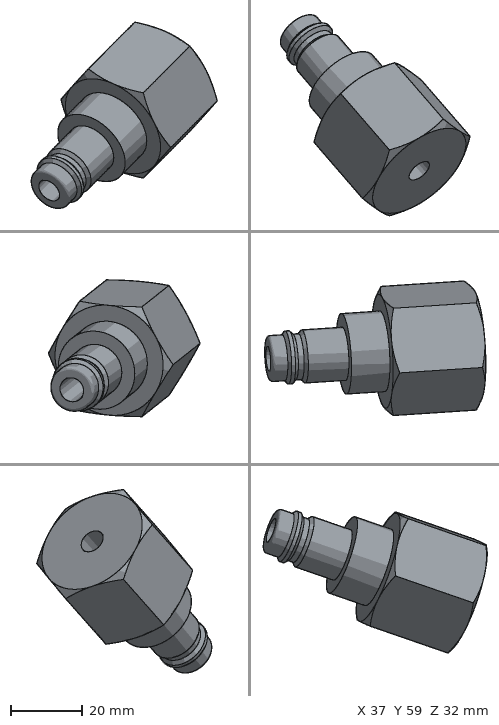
import cadquery as cq
import math

total_length = 59.0
across_flats = 32.0
hex_length = 26.5
collar_radius = 11.3
collar_length = 11.0
plug_radius = 7.5
neck_radius = 6.5
bore_radius = 3.5
tip_fillet = 1.0
hex_chamfer_angle = 30.0

rib_front_start = 4.3
rib_front_end = 5.2
rib_back_start = 6.3
rib_back_end = 7.3
groove_back_start = 8.95
groove_back_end = 10.0

flat_radius = across_flats / 2
corner_radius = flat_radius / math.cos(math.radians(30))
chamfer_length = (corner_radius - flat_radius) * math.tan(math.radians(hex_chamfer_angle))
tip_y = -total_length / 2
back_y = total_length / 2
hex_front_y = back_y - hex_length
collar_front_y = hex_front_y - collar_length


def revolve_about_y(profile):
    """Turn a closed (radius, y) profile around the Y axis."""
    return profile.close().revolve(360, (0, 0, 0), (0, 1, 0))


def make_hex():
    """Hexagonal body with corners on X and both ends turned to a cone."""
    prism = (
        cq.Workplane("XZ", origin=(0, back_y, 0))
        .polygon(6, 2 * corner_radius)
        .extrude(hex_length)
    )
    turned_envelope = revolve_about_y(
        cq.Workplane("XY").polyline([
            (0, hex_front_y),
            (flat_radius, hex_front_y),
            (corner_radius, hex_front_y + chamfer_length),
            (corner_radius, back_y - chamfer_length),
            (flat_radius, back_y),
            (0, back_y),
        ])
    )
    return prism.intersect(turned_envelope)


def make_plug():
    """Collar and plug with a rounded tip, a locking rib and a seal groove."""
    fillet_midpoint = (
        neck_radius - tip_fillet * (1 - math.cos(math.radians(45))),
        tip_y + tip_fillet * (1 - math.sin(math.radians(45))),
    )
    profile = (
        cq.Workplane("XY")
        .moveTo(0, tip_y)
        .lineTo(neck_radius - tip_fillet, tip_y)
        .threePointArc(fillet_midpoint, (neck_radius, tip_y + tip_fillet))
        .lineTo(neck_radius, tip_y + rib_front_start)
        .lineTo(plug_radius, tip_y + rib_front_end)
        .lineTo(plug_radius, tip_y + rib_back_start)
        .lineTo(neck_radius, tip_y + rib_back_end)
        .lineTo(neck_radius, tip_y + groove_back_start)
        .lineTo(plug_radius, tip_y + groove_back_end)
        .lineTo(plug_radius, collar_front_y)
        .lineTo(collar_radius, collar_front_y)
        .lineTo(collar_radius, hex_front_y)
        .lineTo(0, hex_front_y)
    )
    return revolve_about_y(profile)


bore = cq.Workplane("XZ", origin=(0, back_y, 0)).circle(bore_radius).extrude(total_length)

result = make_hex().union(make_plug()).cut(bore)